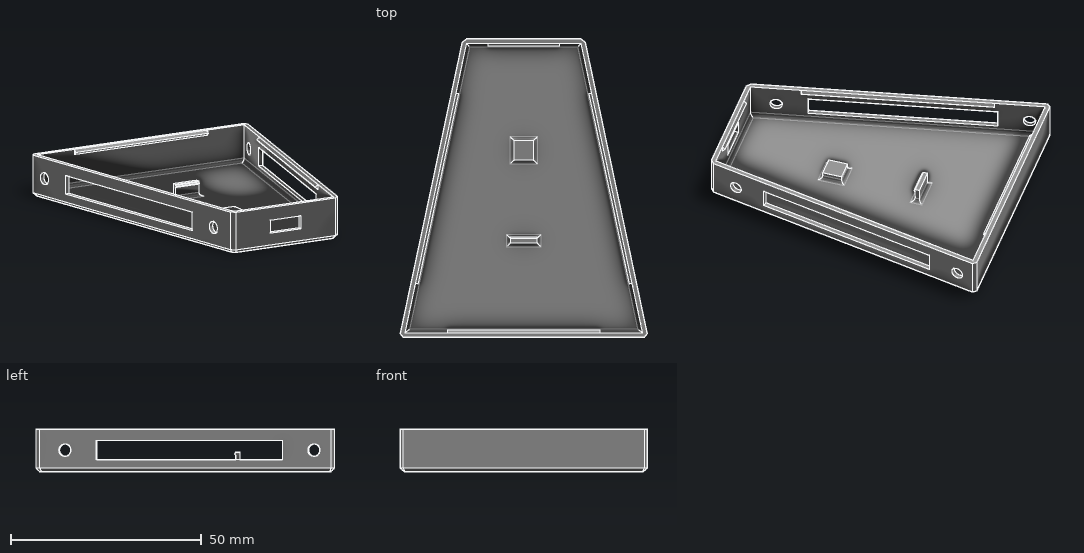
import cadquery as cq
import math

BODY_WIDTH = 64.84
BODY_LENGTH = 78.35
BODY_HEIGHT = 11.2
SIDE_ANGLE = 12.0
EDGE_CHAMFER = 1.0
WALL = 1.2
FLOOR = WALL
FLOOR_FILLET = 1.0

SIDE_OPENING_Y = -1.05
SIDE_WINDOW_LENGTH = 50.0
SIDE_WINDOW_HEIGHT = 5.0
SIDE_WINDOW_BOTTOM = 3.2
SIDE_HOLE_DIAMETER = 3.2
SIDE_HOLE_SPACING = 66.8
SIDE_HOLE_HEIGHT = SIDE_WINDOW_BOTTOM + SIDE_WINDOW_HEIGHT / 2

END_WINDOW_WIDTH = 9.2
END_WINDOW_HEIGHT = 3.5
END_WINDOW_BOTTOM = 4.2

RIDGE_DEPTH = 0.7
SIDE_RIDGE_LENGTH = 51.0
SIDE_RIDGE_Y = 0.2
NARROW_RIDGE_LENGTH = 18.7
WIDE_RIDGE_LENGTH = 40.0

PAD_SIZE = 5.2
PAD_Y = 9.9
PAD_RISE = 2.0
TAB_WIDTH = 7.0
TAB_THICKNESS = 1.2
TAB_Y = -13.8
TAB_RISE = 4.0
TAB_RIDGE_DEPTH = 0.3
TAB_RIDGE_DROP = 0.2

LEAN = math.radians(SIDE_ANGLE)
HALF_LENGTH = BODY_LENGTH / 2
SHARP_HALF_WIDTH = BODY_WIDTH / 2 + EDGE_CHAMFER * math.sin(LEAN)
MIDDLE_HALF_WIDTH = SHARP_HALF_WIDTH - HALF_LENGTH * math.tan(LEAN)
CUT_DEPTH = 4 * WALL
SIDES = (-1, 1)


def trapezoid(inset, bottom, height):
    """Prism on the sharp-cornered body outline moved inwards by inset."""
    end = HALF_LENGTH - inset
    middle = MIDDLE_HALF_WIDTH - inset / math.cos(LEAN)
    wide = middle + end * math.tan(LEAN)
    narrow = middle - end * math.tan(LEAN)
    corners = [(-wide, -end), (wide, -end), (narrow, end), (-narrow, end)]
    return cq.Workplane("XY", origin=(0, 0, bottom)).polyline(corners).close().extrude(height)


def tray():
    outer = trapezoid(0, 0, BODY_HEIGHT).edges("|Z").chamfer(EDGE_CHAMFER)
    outer = outer.faces("<Z").edges().chamfer(EDGE_CHAMFER)
    cavity = trapezoid(WALL, FLOOR, BODY_HEIGHT - FLOOR)
    cavity = cavity.faces("<Z").edges().fillet(FLOOR_FILLET)
    return outer.cut(cavity)


def add_post(body, width, thickness, y, rise):
    """Add an upright block, blended into the floor by a concave fillet."""
    block = cq.Workplane("XY", origin=(0, y, FLOOR)).rect(width, thickness).extrude(rise)
    margin = TAB_THICKNESS / 10
    low = (-width / 2 - margin, y - thickness / 2 - margin, FLOOR - margin)
    high = (width / 2 + margin, y + thickness / 2 + margin, FLOOR + margin)
    foot_edges = cq.selectors.BoxSelector(low, high)
    return body.union(block).edges(foot_edges).fillet(FLOOR_FILLET)


def ridge(length, depth, top):
    """Triangular bar along X, lying against the XZ plane and pointing to -Y."""
    profile = [(0, top), (-depth, top - depth), (0, top - 2 * depth)]
    return cq.Workplane("YZ").polyline(profile).close().extrude(length / 2, both=True)


def wall_ridge(length):
    """Snap ridge for a wall whose outer face is the XZ plane, with +Y outward."""
    return ridge(length, RIDGE_DEPTH, BODY_HEIGHT).translate((0, -WALL, 0))


def tab_ridge():
    bar = ridge(TAB_WIDTH, TAB_RIDGE_DEPTH, FLOOR + TAB_RISE - TAB_RIDGE_DROP)
    return bar.rotate((0, 0, 0), (0, 0, 1), 180).translate((0, TAB_Y + TAB_THICKNESS / 2, 0))


def window(length, height, bottom):
    """Cutter for a window through a wall whose outer face is the XZ plane."""
    return cq.Workplane("XY").box(length, CUT_DEPTH, height).translate((0, 0, bottom + height / 2))


def side_hole(along):
    """Cutter for a round hole through a wall whose outer face is the XZ plane."""
    plane = cq.Workplane("XZ", origin=(along, 0, SIDE_HOLE_HEIGHT))
    return plane.circle(SIDE_HOLE_DIAMETER / 2).extrude(CUT_DEPTH / 2, both=True)


def on_long_wall(shape, side, y):
    """Move a shape made about the XZ plane, +Y outward, onto a long wall's outer face at y."""
    turn = -side * (90 - SIDE_ANGLE)
    x = side * (MIDDLE_HALF_WIDTH - y * math.tan(LEAN))
    return shape.rotate((0, 0, 0), (0, 0, 1), turn).translate((x, y, 0))


def on_narrow_end(shape):
    return shape.translate((0, HALF_LENGTH, 0))


def on_wide_end(shape):
    return shape.rotate((0, 0, 0), (0, 0, 1), 180).translate((0, -HALF_LENGTH, 0))


def add_ridges(body):
    for side in SIDES:
        body = body.union(on_long_wall(wall_ridge(SIDE_RIDGE_LENGTH), side, SIDE_RIDGE_Y))
    body = body.union(on_narrow_end(wall_ridge(NARROW_RIDGE_LENGTH)))
    body = body.union(on_wide_end(wall_ridge(WIDE_RIDGE_LENGTH)))
    return body.union(tab_ridge())


def cut_openings(body):
    side_window = window(SIDE_WINDOW_LENGTH, SIDE_WINDOW_HEIGHT, SIDE_WINDOW_BOTTOM)
    for side in SIDES:
        body = body.cut(on_long_wall(side_window, side, SIDE_OPENING_Y))
        for end in (-1, 1):
            hole = side_hole(end * SIDE_HOLE_SPACING / 2)
            body = body.cut(on_long_wall(hole, side, SIDE_OPENING_Y))
    end_window = window(END_WINDOW_WIDTH, END_WINDOW_HEIGHT, END_WINDOW_BOTTOM)
    return body.cut(on_narrow_end(end_window))


result = tray()
result = add_post(result, PAD_SIZE, PAD_SIZE, PAD_Y, PAD_RISE)
result = add_post(result, TAB_WIDTH, TAB_THICKNESS, TAB_Y, TAB_RISE)
result = add_ridges(result)
result = cut_openings(result)